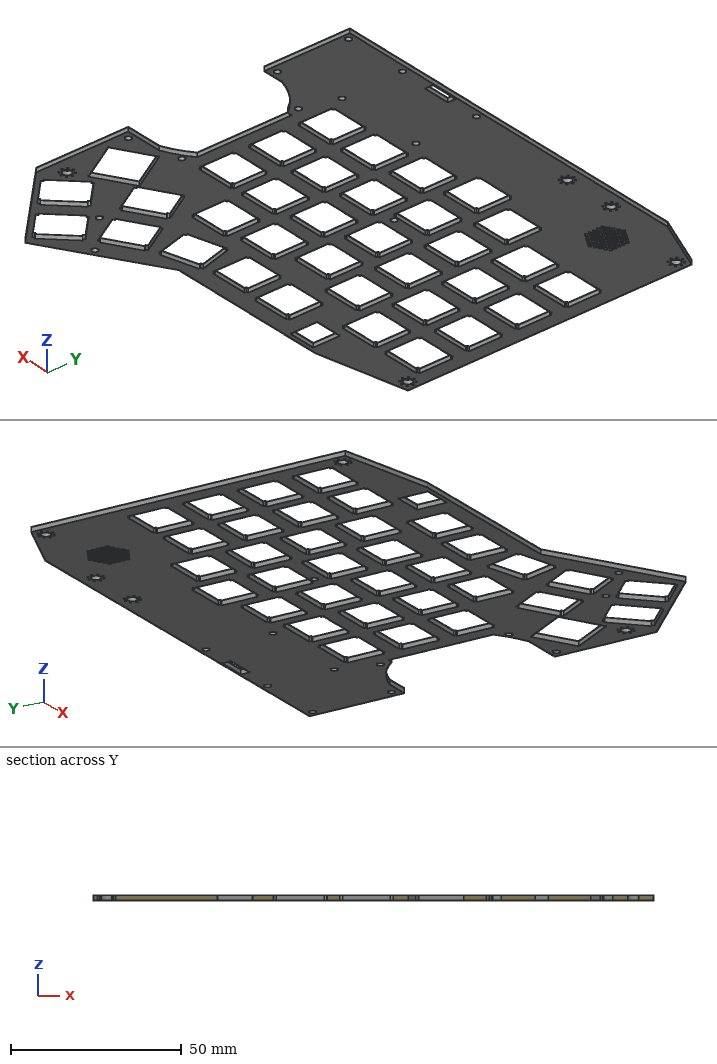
import cadquery as cq
import math

PLATE_WIDTH = 163.98
PLATE_DEPTH = 148.86
PLATE_THICKNESS = 1.6

LEFT_EDGE_BOTTOM_Y = 31.2
LEFT_EDGE_TOP_Y = 140.4
TOP_EDGE_START_X = 20.8
BOTTOM_EDGE_Y = 24.2
BOTTOM_EDGE_START_X = 33.6
BOTTOM_EDGE_END_X = 95.0
LOWEST_CORNER_X = 135.9
RIGHT_EDGE_BOTTOM_Y = 28.2

RECESS_FLOOR_X = 139.9
RECESS_TOP_Y = 115.9
RECESS_BOTTOM_Y = 63.6
UPPER_ARC_START_X = 155.9
UPPER_ARC_MIDDLE = (149.1, 112.8)
UPPER_ARC_END = (141.6, 105.9)
LOWER_ARC_START_Y = 69.6
LOWER_ARC_MIDDLE = (144.4, 66.4)
LOWER_ARC_END_X = 150.0

KEY_PITCH = 19.05
KEY_SQUARE = 14.0
KEY_CLIP_WIDTH = 15.6
KEY_CLIP_HEIGHT = 12.6
FIRST_KEY_X = 12.97
FIRST_COLUMN_TOP_Y = 103.6
KEY_COLUMNS = [(0, 4), (0, 4), (1 / 2, 4), (3 / 4, 4), (1 / 2, 4), (3 / 8, 4), (3 / 8, 3)]
THUMB_KEYS = [
    (60.55, 37.1, 0),
    (79.95, 37.6, 0),
    (100.2, 34.2, -15),
    (119.4, 26.3, -30),
    (128.9, 42.8, -30),
    (135.9, 13.6, -45),
    (149.4, 27.1, -45),
]

ENCODER_CENTER = (149.75, 49.75)
ENCODER_SIZE = (15.8, 17.4)
ENCODER_ANGLE = -30
SQUARE_OPENING_CENTER = (41.45, 30.9)
SQUARE_OPENING_SIZE = (10.2, 10.2)
SLOT_CENTER = (120.8, 146.8)
SLOT_SIZE = (10.2, 3.0)

SMALL_SCREW_DIAMETER = 2.2
SMALL_SCREW_POSITIONS = [
    (104.2, 146.55),
    (137.55, 146.55),
    (161.65, 146.4),
    (104.2, 123.25),
    (137.5, 123.25),
    (161.2, 118.6),
    (141.4, 109.8),
    (75.5, 90.4),
    (142.2, 65.6),
    (161.1, 61.15),
    (132.5, 25.6),
    (119.5, 12.8),
]
MOUNT_DIAMETER = 3.2
MOUNT_POSITIONS = [(40.1, 143.6), (59.75, 143.6), (4.0, 137.85), (3.85, 34.45), (158.0, 35.0)]
VIA_DIAMETER = 0.5
VIA_CIRCLE_RADIUS = 2.4
VIA_COUNT = 8

GRILLE_CENTER = (27.25, 131.0)
GRILLE_HOLE_DIAMETER = 1.0
GRILLE_PITCH = 1.6
GRILLE_RINGS = 4


def make_plate():
    return (
        cq.Workplane("XY")
        .moveTo(0, LEFT_EDGE_BOTTOM_Y)
        .lineTo(0, LEFT_EDGE_TOP_Y)
        .lineTo(TOP_EDGE_START_X, PLATE_DEPTH)
        .lineTo(PLATE_WIDTH, PLATE_DEPTH)
        .lineTo(PLATE_WIDTH, RECESS_TOP_Y)
        .lineTo(UPPER_ARC_START_X, RECESS_TOP_Y)
        .threePointArc(UPPER_ARC_MIDDLE, UPPER_ARC_END)
        .lineTo(RECESS_FLOOR_X, UPPER_ARC_END[1])
        .lineTo(RECESS_FLOOR_X, LOWER_ARC_START_Y)
        .threePointArc(LOWER_ARC_MIDDLE, (LOWER_ARC_END_X, RECESS_BOTTOM_Y))
        .lineTo(PLATE_WIDTH, RECESS_BOTTOM_Y)
        .lineTo(PLATE_WIDTH, RIGHT_EDGE_BOTTOM_Y)
        .lineTo(LOWEST_CORNER_X, 0)
        .lineTo(BOTTOM_EDGE_END_X, BOTTOM_EDGE_Y)
        .lineTo(BOTTOM_EDGE_START_X, BOTTOM_EDGE_Y)
        .close()
        .extrude(PLATE_THICKNESS)
    )


def key_cutout_points():
    """Corners of one key cutout, centred on the origin."""
    outer_x = KEY_CLIP_WIDTH / 2
    inner_x = KEY_SQUARE / 2
    outer_y = KEY_SQUARE / 2
    inner_y = KEY_CLIP_HEIGHT / 2
    right_side = [
        (inner_x, -outer_y),
        (inner_x, -inner_y),
        (outer_x, -inner_y),
        (outer_x, inner_y),
        (inner_x, inner_y),
        (inner_x, outer_y),
    ]
    left_side = [(-x, -y) for x, y in right_side]
    return right_side + left_side


def make_key_cutters(places):
    """Cutters for key switches at (x, y, rotation) places."""
    outline = cq.Workplane("XY").polyline(key_cutout_points()).close()
    cutter = outline.extrude(PLATE_THICKNESS).val()
    cutters = cq.Workplane("XY")
    for x, y, angle in places:
        turned = cutter.rotate((0, 0, 0), (0, 0, 1), angle)
        cutters.add(turned.translate((x, y, 0)))
    return cutters.combine()


def column_key_places():
    places = []
    for column, (stagger, key_count) in enumerate(KEY_COLUMNS):
        x = FIRST_KEY_X + column * KEY_PITCH
        top_y = FIRST_COLUMN_TOP_Y + stagger * KEY_PITCH
        for row in range(key_count):
            places.append((x, top_y - row * KEY_PITCH, 0))
    return places


def make_rectangle_cutter(center, size, angle=0):
    return (
        cq.Workplane("XY")
        .center(*center)
        .transformed(rotate=(0, 0, angle))
        .rect(*size)
        .extrude(PLATE_THICKNESS)
    )


def make_hole_cutters(positions, diameter):
    return cq.Workplane("XY").pushPoints(positions).circle(diameter / 2).extrude(PLATE_THICKNESS)


def via_positions():
    """Ring of small holes around each mounting hole."""
    positions = []
    for x, y in MOUNT_POSITIONS:
        for index in range(VIA_COUNT):
            angle = 2 * math.pi * index / VIA_COUNT
            via_x = x + VIA_CIRCLE_RADIUS * math.cos(angle)
            via_y = y + VIA_CIRCLE_RADIUS * math.sin(angle)
            positions.append((via_x, via_y))
    return positions


def grille_positions():
    """Upright columns of holes, one hole shorter with each step away from the middle column."""
    center_x, center_y = GRILLE_CENTER
    column_spacing = GRILLE_PITCH * math.sqrt(3) / 2
    positions = []
    for column in range(-GRILLE_RINGS, GRILLE_RINGS + 1):
        hole_count = 2 * GRILLE_RINGS + 1 - abs(column)
        lowest_y = center_y - (hole_count - 1) / 2 * GRILLE_PITCH
        for row in range(hole_count):
            positions.append((center_x + column * column_spacing, lowest_y + row * GRILLE_PITCH))
    return positions


result = (
    make_plate()
    .cut(make_key_cutters(column_key_places() + THUMB_KEYS))
    .cut(make_rectangle_cutter(ENCODER_CENTER, ENCODER_SIZE, ENCODER_ANGLE))
    .cut(make_rectangle_cutter(SQUARE_OPENING_CENTER, SQUARE_OPENING_SIZE))
    .cut(make_rectangle_cutter(SLOT_CENTER, SLOT_SIZE))
    .cut(make_hole_cutters(SMALL_SCREW_POSITIONS, SMALL_SCREW_DIAMETER))
    .cut(make_hole_cutters(MOUNT_POSITIONS, MOUNT_DIAMETER))
    .cut(make_hole_cutters(via_positions(), VIA_DIAMETER))
    .cut(make_hole_cutters(grille_positions(), GRILLE_HOLE_DIAMETER))
)